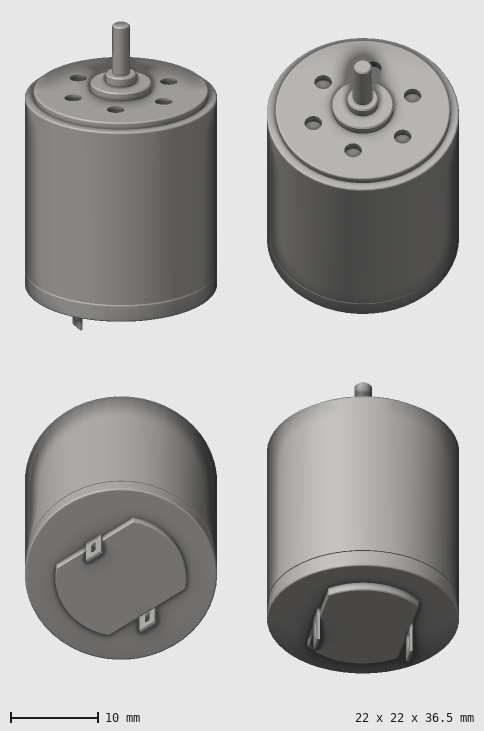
import cadquery as cq

total_height = 36.5
terminal_length = 4.2
cap_height = 2.1
flange_height = 0.8
boss_height = 1.0
collar_height = 1.1
shaft_length = 6.0

body_diameter = 22.0
flange_diameter = 20.0
boss_diameter = 7.0
collar_diameter = 3.5
shaft_diameter = 2.0

body_rounding = 0.22
flange_rounding = 0.22
small_chamfer = 0.15

hole_count = 6
hole_diameter = 2.0
hole_circle_diameter = 12.0
hole_depth = 1.0

base_diameter = 15.0
base_height = 1.0
base_flat_spacing = 10.6
base_chamfer = 0.1
terminal_width = 2.1
terminal_thickness = 0.3
slot_length = 2.2
slot_width = 0.62
slot_center_z = 2.05

cap_bottom = terminal_length
body_bottom = cap_bottom + cap_height
collar_top = total_height - shaft_length
boss_top = collar_top - collar_height
flange_top = boss_top - boss_height
body_top = flange_top - flange_height


def cylinder(diameter, bottom, top):
    """Upright cylinder on the motor axis."""
    return cq.Workplane("XY").workplane(offset=bottom).circle(diameter / 2).extrude(top - bottom)


def make_housing():
    """Can and end cap, with a small rounded seam between them."""
    cap = cylinder(body_diameter, cap_bottom, body_bottom).edges().fillet(body_rounding)
    can = cylinder(body_diameter, body_bottom, body_top).faces(">Z").edges().fillet(body_rounding)
    return can.union(cap)


def make_output_end():
    """Stepped flange, boss, collar and shaft above the can."""
    flange = cylinder(flange_diameter, body_top, flange_top).faces(">Z").edges().fillet(flange_rounding)
    boss = cylinder(boss_diameter, flange_top, boss_top).faces(">Z").edges().chamfer(small_chamfer)
    collar = cylinder(collar_diameter, boss_top, collar_top).faces(">Z").edges().chamfer(small_chamfer)
    shaft = cylinder(shaft_diameter, collar_top, total_height).faces(">Z").edges().chamfer(small_chamfer)
    return flange.union(boss).union(collar).union(shaft)


def make_mounting_holes():
    """Blind holes sunk into the flange, two of them on the Y axis."""
    return (
        cq.Workplane("XY")
        .workplane(offset=flange_top)
        .polarArray(hole_circle_diameter / 2, 90, 360, hole_count)
        .circle(hole_diameter / 2)
        .extrude(-hole_depth)
    )


def make_base():
    """Round block under the cap, with flats facing the two terminals."""
    flat_limits = cq.Workplane("XY").box(base_diameter, base_flat_spacing, 2 * total_height)
    block = cylinder(base_diameter, cap_bottom - base_height, cap_bottom).intersect(flat_limits)
    return block.faces("<Z").edges().chamfer(base_chamfer)


def make_terminal(side):
    """Slotted upright tab against the base flat; side is +1 or -1 along Y."""
    center_y = side * (base_flat_spacing + terminal_thickness) / 2
    tab = cq.Workplane("XY").box(
        terminal_width, terminal_thickness, terminal_length, centered=(True, True, False)
    )
    slot = (
        cq.Workplane("XZ")
        .center(0, slot_center_z)
        .slot2D(slot_length, slot_width, 90)
        .extrude(terminal_thickness, both=True)
    )
    return tab.cut(slot).translate((0, center_y, 0))


result = make_housing().union(make_output_end()).cut(make_mounting_holes()).union(make_base())
for side in (-1, 1):
    result = result.union(make_terminal(side))